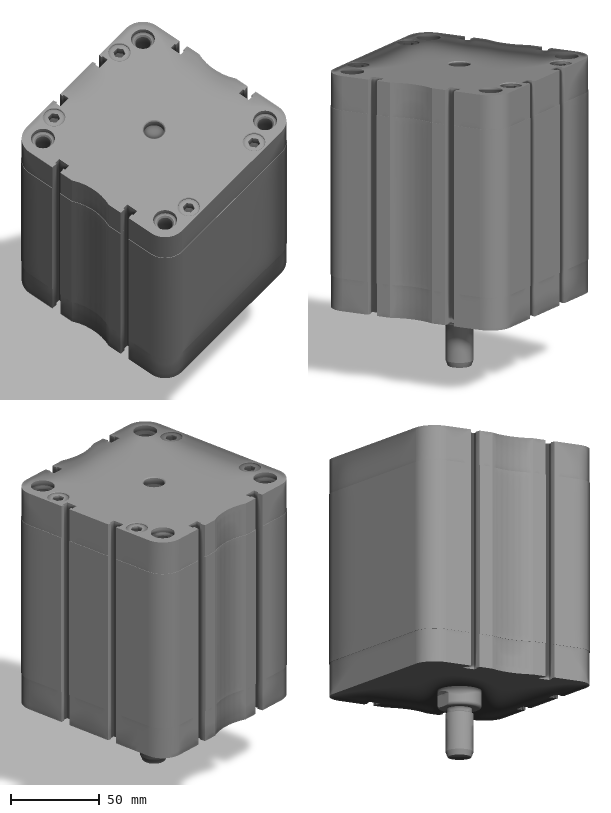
import cadquery as cq
import math

TOTAL_HEIGHT = 175.0
BODY_BOTTOM = 38.3
TOP_CAP_HEIGHT = 20.0
BOTTOM_CAP_HEIGHT = 19.0
BARREL_BOTTOM = BODY_BOTTOM + BOTTOM_CAP_HEIGHT
BARREL_TOP = TOTAL_HEIGHT - TOP_CAP_HEIGHT

BARREL_WIDTH = 113.5
CAP_WIDTH = 113.0
CORNER_CENTRE = 44.3

FLUTE_HALF_WIDTH = 13.5
FLUTE_DEPTH = 2.8

X_SLOT_MOUTH_WIDTH = 6.0
Y_SLOT_MOUTH_WIDTH = 5.8
SLOT_THROAT_WIDTH = 5.2
SLOT_INNER_WIDTH = 7.2
Y_SLOT_OFFSET = 24.8
Y_SLOT_LIP = 53.2
Y_SLOT_FLOOR = 49.7
X_SLOT_OFFSET = 17.3
X_SLOT_LIP = 54.6
X_SLOT_FLOOR = 51.0

MOUNT_OFFSET = 44.5
MOUNT_BORE_DIAMETER = 13.5
MOUNT_BORE_DEPTH = 3.0
MOUNT_CHAMFER_DIAMETER = 10.2
MOUNT_HOLE_DIAMETER = 8.5
MOUNT_CHAMFER_HEIGHT = 1.0

SCREW_X = 49.0
SCREW_Y = 29.0
SCREW_RECESS_DIAMETER = 12.0
SCREW_RECESS_DEPTH = 0.9
SCREW_CHAMFER = 0.4
SOCKET_FLATS = 6.0
SOCKET_DEPTH = 5.2

CENTRE_HOLE_DIAMETER = 12.0
CENTRE_HOLE_DEPTH = 4.4
CENTRE_CHAMFER = 0.5

ROD_DIAMETER = 25.0
ROD_SHOULDER_Z = 28.0
SHOULDER_ROUND = 1.8
FLATS_WIDTH = 22.0
FLATS_TOP_Z = 35.2
NECK_DIAMETER = 14.0
THREAD_DIAMETER = 16.0
THREAD_TOP_Z = 25.4
THREAD_TOP_CHAMFER = 0.5
TIP_DIAMETER = 13.5
TIP_CHAMFER_HEIGHT = 3.2


def t_slot(offset, mouth_width, lip, floor, face, bottom, top):
    """T-slot along Z that opens in the +X direction at Y = offset."""
    right_half = [
        (face, mouth_width / 2),
        (lip, SLOT_THROAT_WIDTH / 2),
        (lip, SLOT_INNER_WIDTH / 2),
        (floor, SLOT_INNER_WIDTH / 2),
    ]
    left_half = [(x, -y) for x, y in reversed(right_half)]
    outline = [(x, offset + y) for x, y in right_half + left_half]
    return cq.Workplane("XY").workplane(offset=bottom).polyline(outline).close().extrude(top - bottom)


def profile_block(width, bottom, top):
    """Length of the rounded square section with its flutes and T-slots."""
    height = top - bottom
    block = (
        cq.Workplane("XY").workplane(offset=bottom)
        .rect(width, width).extrude(height)
        .edges("|Z").fillet(width / 2 - CORNER_CENTRE)
    )

    flute_radius = (FLUTE_HALF_WIDTH**2 + FLUTE_DEPTH**2) / (2 * FLUTE_DEPTH)
    flute_centre = width / 2 - FLUTE_DEPTH + flute_radius
    for side in (-1, 1):
        flute = (
            cq.Workplane("XY").workplane(offset=bottom)
            .center(0, side * flute_centre)
            .circle(flute_radius).extrude(height)
        )
        block = block.cut(flute)

    for side in (-1, 1):
        x_slot = t_slot(
            side * X_SLOT_OFFSET, X_SLOT_MOUTH_WIDTH, X_SLOT_LIP, X_SLOT_FLOOR, width / 2, bottom, top
        )
        block = block.cut(x_slot.rotate((0, 0, 0), (0, 0, 1), 180))
        y_slot = t_slot(
            side * Y_SLOT_OFFSET, Y_SLOT_MOUTH_WIDTH, Y_SLOT_LIP, Y_SLOT_FLOOR, width / 2, bottom, top
        )
        for turn in (-90, 90):
            block = block.cut(y_slot.rotate((0, 0, 0), (0, 0, 1), turn))
    return block


def corner_points(x, y):
    return [(sx * x, sy * y) for sx in (-1, 1) for sy in (-1, 1)]


def make_barrel():
    return profile_block(BARREL_WIDTH, BARREL_BOTTOM, BARREL_TOP)


def mounting_hole():
    """Counterbored hole with a chamfered lower bore, as a cutter at the origin of X and Y."""
    bore_floor = TOTAL_HEIGHT - MOUNT_BORE_DEPTH
    return (
        cq.Workplane("XZ")
        .moveTo(0, TOTAL_HEIGHT)
        .lineTo(MOUNT_BORE_DIAMETER / 2, TOTAL_HEIGHT)
        .lineTo(MOUNT_BORE_DIAMETER / 2, bore_floor)
        .lineTo(MOUNT_CHAMFER_DIAMETER / 2, bore_floor)
        .lineTo(MOUNT_HOLE_DIAMETER / 2, bore_floor - MOUNT_CHAMFER_HEIGHT)
        .lineTo(MOUNT_HOLE_DIAMETER / 2, BARREL_TOP)
        .lineTo(0, BARREL_TOP)
        .close()
        .revolve(360, (0, 0, 0), (0, 1, 0))
    )


def chamfered_recess(diameter, depth, chamfer):
    """Blind flat-bottomed recess in the top face with a 45 degree chamfered rim, as a cutter."""
    top_face = cq.Workplane("XY").workplane(offset=TOTAL_HEIGHT)
    bore = top_face.circle(diameter / 2).extrude(-depth)
    rim = top_face.circle(diameter / 2 + chamfer).extrude(-chamfer, taper=45)
    return bore.union(rim)


def make_top_cap():
    cap = profile_block(CAP_WIDTH, BARREL_TOP, TOTAL_HEIGHT)

    for x, y in corner_points(MOUNT_OFFSET, MOUNT_OFFSET):
        cap = cap.cut(mounting_hole().translate((x, y, 0)))

    top_face = cq.Workplane("XY").workplane(offset=TOTAL_HEIGHT)
    recess = chamfered_recess(SCREW_RECESS_DIAMETER, SCREW_RECESS_DEPTH, SCREW_CHAMFER)
    across_corners = SOCKET_FLATS / math.cos(math.pi / 6)
    socket = top_face.polygon(6, across_corners).extrude(-SOCKET_DEPTH).rotate((0, 0, 0), (0, 0, 1), 30)
    screw_cut = recess.union(socket)
    for x, y in corner_points(SCREW_X, SCREW_Y):
        cap = cap.cut(screw_cut.translate((x, y, 0)))

    return cap.cut(chamfered_recess(CENTRE_HOLE_DIAMETER, CENTRE_HOLE_DEPTH, CENTRE_CHAMFER))


def make_bottom_cap():
    cap = profile_block(CAP_WIDTH, BODY_BOTTOM, BARREL_BOTTOM)
    rod_bore = (
        cq.Workplane("XY").workplane(offset=BODY_BOTTOM)
        .circle(ROD_DIAMETER / 2).extrude(BOTTOM_CAP_HEIGHT)
    )
    return cap.cut(rod_bore)


def make_rod():
    rod_radius = ROD_DIAMETER / 2
    neck_radius = NECK_DIAMETER / 2
    thread_radius = THREAD_DIAMETER / 2
    rod = (
        cq.Workplane("XZ")
        .moveTo(0, BARREL_BOTTOM)
        .lineTo(rod_radius, BARREL_BOTTOM)
        .lineTo(rod_radius, ROD_SHOULDER_Z + SHOULDER_ROUND)
        .radiusArc((rod_radius - SHOULDER_ROUND, ROD_SHOULDER_Z), SHOULDER_ROUND)
        .lineTo(neck_radius, ROD_SHOULDER_Z)
        .lineTo(neck_radius, THREAD_TOP_Z)
        .lineTo(thread_radius, THREAD_TOP_Z - THREAD_TOP_CHAMFER)
        .lineTo(thread_radius, TIP_CHAMFER_HEIGHT)
        .lineTo(TIP_DIAMETER / 2, 0)
        .lineTo(0, 0)
        .close()
        .revolve(360, (0, 0, 0), (0, 1, 0))
    )

    flat_x = FLATS_WIDTH / 2
    run_out = rod_radius - flat_x
    flat_cut = (
        cq.Workplane("XZ")
        .polyline([
            (flat_x, ROD_SHOULDER_Z),
            (rod_radius, ROD_SHOULDER_Z),
            (rod_radius, FLATS_TOP_Z + run_out),
            (flat_x, FLATS_TOP_Z),
        ])
        .close()
        .extrude(rod_radius, both=True)
    )
    return rod.cut(flat_cut).cut(flat_cut.mirror("YZ"))


barrel = make_barrel()
top_cap = make_top_cap()
bottom_cap = make_bottom_cap()
rod = make_rod()

result = cq.Compound.makeCompound([barrel.val(), top_cap.val(), bottom_cap.val(), rod.val()])